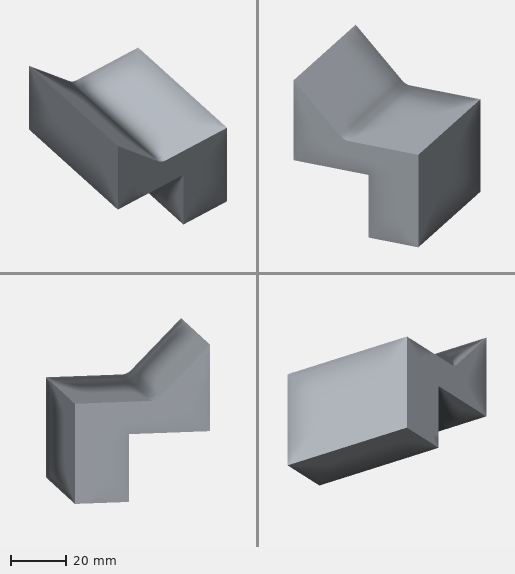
import cadquery as cq

width = 53.0
depth = 50.0
height = 57.0

leg_thickness = 20.0
shelf_bottom = 25.0
lip_height = 20.0
shelf_top = height - lip_height
lip_run = lip_height
inner_fillet = 5.0

profile = [
    (0, shelf_bottom),
    (0, height),
    (lip_run, shelf_top),
    (depth, shelf_top),
    (depth, 0),
    (depth - leg_thickness, 0),
    (depth - leg_thickness, shelf_bottom),
]
body = cq.Workplane("YZ").polyline(profile).close().extrude(width)

lip_root = cq.selectors.NearestToPointSelector((width / 2, lip_run, shelf_top))
result = body.edges(lip_root).fillet(inner_fillet)